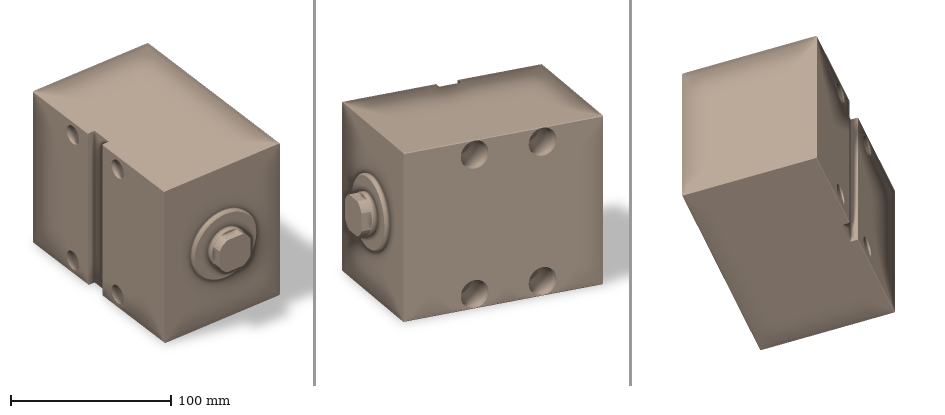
import cadquery as cq

TOTAL_LENGTH = 151.5
BLOCK_LENGTH = 138.0
BLOCK_DEPTH = 90.0
BLOCK_HEIGHT = 115.0
BLOCK_EDGE_CHAMFER = 0.53

SLOT_START = 58.0
SLOT_WIDTH = 15.0
SLOT_DEPTH = 5.0

HOLE_DIAMETER = 13.0
HOLE_EDGE_DISTANCE = 10.0
FIRST_HOLE_X = 42.0
HOLE_PITCH_X = 47.0
COUNTERBORE_DIAMETER = 19.1
COUNTERBORE_DEPTH = 24.0

GLAND_DIAMETER = 50.0
GLAND_THICKNESS = 3.3
GLAND_CHAMFER = 1.0

ROD_DIAMETER = 28.0
ROD_SHOULDER_LENGTH = 7.0
ROD_CHAMFER = 0.53
TIP_DIAMETER = ROD_DIAMETER - 2 * ROD_CHAMFER
TIP_ACROSS_FLATS = 24.1
TIP_LENGTH = TOTAL_LENGTH - BLOCK_LENGTH - ROD_SHOULDER_LENGTH

HALF_DEPTH = BLOCK_DEPTH / 2
HALF_HEIGHT = BLOCK_HEIGHT / 2


def disc(start_x, diameter, length):
    """Cylinder on the rod axis, extending toward +X from start_x."""
    return cq.Workplane("YZ", origin=(start_x, 0, 0)).circle(diameter / 2).extrude(length)


def make_block():
    """Cylinder block: chamfered long edges, key slot, four counterbored holes."""
    block = cq.Workplane("XY").box(
        BLOCK_LENGTH, BLOCK_DEPTH, BLOCK_HEIGHT, centered=(False, True, True)
    )
    block = block.edges("|X").chamfer(BLOCK_EDGE_CHAMFER)

    slot = cq.Workplane("XY", origin=(SLOT_START, -HALF_DEPTH, 0)).box(
        SLOT_WIDTH, SLOT_DEPTH, BLOCK_HEIGHT, centered=(False, False, True)
    )
    block = block.cut(slot)

    hole_height = HALF_HEIGHT - HOLE_EDGE_DISTANCE
    hole_points = [
        (x, z)
        for x in (FIRST_HOLE_X, FIRST_HOLE_X + HOLE_PITCH_X)
        for z in (-hole_height, hole_height)
    ]
    back_plane = cq.Workplane("XZ", origin=(0, HALF_DEPTH, 0))
    holes = back_plane.pushPoints(hole_points).circle(HOLE_DIAMETER / 2).extrude(BLOCK_DEPTH)
    counterbores = (
        back_plane.pushPoints(hole_points).circle(COUNTERBORE_DIAMETER / 2).extrude(COUNTERBORE_DEPTH)
    )
    return block.cut(holes).cut(counterbores)


def make_gland():
    """Chamfered ring seated on the block's end face around the rod."""
    gland = disc(BLOCK_LENGTH, GLAND_DIAMETER, GLAND_THICKNESS)
    gland = gland.faces(">X").chamfer(GLAND_CHAMFER)
    return gland.cut(disc(BLOCK_LENGTH, ROD_DIAMETER, GLAND_THICKNESS))


def make_rod():
    """Rod through the gland, ending in a narrower tip with four wrench flats."""
    shoulder = disc(BLOCK_LENGTH, ROD_DIAMETER, ROD_SHOULDER_LENGTH)
    shoulder = shoulder.faces(">X").chamfer(ROD_CHAMFER)

    tip_start = BLOCK_LENGTH + ROD_SHOULDER_LENGTH
    flats = cq.Workplane("XY", origin=(tip_start, 0, 0)).box(
        TIP_LENGTH, TIP_ACROSS_FLATS, TIP_ACROSS_FLATS, centered=(False, True, True)
    )
    tip = disc(tip_start, TIP_DIAMETER, TIP_LENGTH).intersect(flats)
    return shoulder.union(tip)


block = make_block()
gland = make_gland()
rod = make_rod()

result = cq.Compound.makeCompound([block.val(), gland.val(), rod.val()])